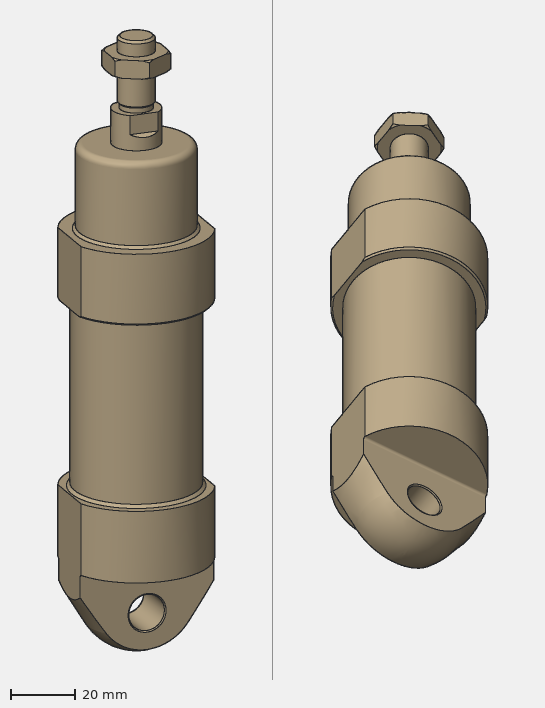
import cadquery as cq
import math

TOTAL_HEIGHT = 202.5

CAP_DIAMETER = 49.0
CAP_ACROSS_FLATS = 45.0
CAP_HEIGHT = 23.7
CAP_EDGE_CHAMFER = 0.6
BOTTOM_CAP_BASE_Z = 30.0
TOP_CAP_TOP_Z = 138.8
TUBE_DIAMETER = 41.5
TUBE_COLLAR_DIAMETER = 43.5
BOSS_DIAMETER = 38.0
BOSS_TOP_Z = 167.1
BOSS_FILLET = 2.2
BOSS_COLLAR_DIAMETER = 40.0

bottom_cap_top_z = BOTTOM_CAP_BASE_Z + CAP_HEIGHT
top_cap_base_z = TOP_CAP_TOP_Z - CAP_HEIGHT

LUG_THICKNESS = 18.0
LUG_TIP_RADIUS = 19.0
LUG_SHOULDER_Z = 19.5
LUG_ROOT_FILLET = 0.8
PIVOT_DIAMETER = 12.0
PIVOT_CHAMFER = 0.5
PIVOT_Z = 14.4

ROD_DIAMETER = 16.0
ROD_SHOULDER_Z = 178.7
ROD_ACROSS_FLATS = 13.0
ROD_FLAT_BASE_Z = 172.5
ROD_FLAT_RUNOUT = 1.0
THREAD_DIAMETER = 12.0
THREAD_BASE_Z = 180.3
THREAD_TIP_CHAMFER = 0.8
RELIEF_DIAMETER = 10.7

NUT_ACROSS_FLATS = 18.8
NUT_THICKNESS = 6.0
NUT_TOP_Z = 197.5
NUT_CHAMFER_DIAMETER = 19.9
NUT_CHAMFER_ANGLE = 30.0


def cylinder(diameter, base_z, top_z):
    """Upright cylinder on the Z axis between two heights."""
    return cq.Workplane("XY").workplane(offset=base_z).circle(diameter / 2).extrude(top_z - base_z)


def slab(width_x, width_y, base_z, top_z):
    """Centred rectangular block between two heights."""
    return cq.Workplane("XY").workplane(offset=base_z).rect(width_x, width_y).extrude(top_z - base_z)


def cut_flats(cap, base_z):
    """Trim a round cap to the flats facing -Y and +Y."""
    return cap.intersect(slab(CAP_DIAMETER, CAP_ACROSS_FLATS, base_z, base_z + CAP_HEIGHT))


def make_bottom_cap():
    cap = cylinder(CAP_DIAMETER, BOTTOM_CAP_BASE_Z, bottom_cap_top_z)
    return cut_flats(cap, BOTTOM_CAP_BASE_Z)


def make_top_cap():
    """Cap whose round lower edge is bevelled before the flats are cut."""
    cap = cylinder(CAP_DIAMETER, top_cap_base_z, TOP_CAP_TOP_Z).faces("<Z").chamfer(CAP_EDGE_CHAMFER)
    return cut_flats(cap, top_cap_base_z)


def lug_envelope():
    """Solid of revolution: spherical tip, tangent cone, then a cylinder at the cap diameter."""
    cap_radius = CAP_DIAMETER / 2
    shoulder_radius = CAP_ACROSS_FLATS / 2
    rise = LUG_SHOULDER_Z - LUG_TIP_RADIUS
    distance = math.hypot(shoulder_radius, rise)
    cone_angle = math.asin(LUG_TIP_RADIUS / distance) + math.atan2(rise, shoulder_radius)
    tangent_r = LUG_TIP_RADIUS * math.sin(cone_angle)
    tangent_z = LUG_TIP_RADIUS * (1 - math.cos(cone_angle))
    middle_r = LUG_TIP_RADIUS * math.sin(cone_angle / 2)
    middle_z = LUG_TIP_RADIUS * (1 - math.cos(cone_angle / 2))
    cone_top_z = LUG_SHOULDER_Z + (cap_radius - shoulder_radius) * math.tan(cone_angle)
    return (
        cq.Workplane("XZ")
        .moveTo(0, 0)
        .threePointArc((middle_r, middle_z), (tangent_r, tangent_z))
        .lineTo(cap_radius, cone_top_z)
        .lineTo(cap_radius, BOTTOM_CAP_BASE_Z)
        .lineTo(0, BOTTOM_CAP_BASE_Z)
        .close()
        .revolve(360, (0, 0, 0), (0, 1, 0))
    )


def lug():
    """Flat tongue with rounded underside and filleted root."""
    half = LUG_THICKNESS / 2
    root = half + LUG_ROOT_FILLET
    fillet_z = BOTTOM_CAP_BASE_Z - LUG_ROOT_FILLET
    bulge = LUG_ROOT_FILLET * (1 - math.sqrt(0.5))
    section = (
        cq.Workplane("XZ")
        .moveTo(-half, 0)
        .lineTo(half, 0)
        .lineTo(half, fillet_z)
        .threePointArc((half + bulge, BOTTOM_CAP_BASE_Z - bulge), (root, BOTTOM_CAP_BASE_Z))
        .lineTo(-root, BOTTOM_CAP_BASE_Z)
        .threePointArc((-half - bulge, BOTTOM_CAP_BASE_Z - bulge), (-half, fillet_z))
        .close()
        .extrude(CAP_ACROSS_FLATS / 2, both=True)
    )
    return section.intersect(lug_envelope())


def pivot_hole():
    """Cutter for the pivot hole along X, chamfered at both lug faces."""
    half = LUG_THICKNESS / 2
    radius = PIVOT_DIAMETER / 2
    mouth = radius + PIVOT_CHAMFER
    return (
        cq.Workplane("XY")
        .polyline([
            (-half, 0),
            (-half, mouth),
            (-half + PIVOT_CHAMFER, radius),
            (half - PIVOT_CHAMFER, radius),
            (half, mouth),
            (half, 0),
        ])
        .close()
        .revolve(360, (0, 0, 0), (1, 0, 0))
        .translate((0, 0, PIVOT_Z))
    )


def cone_collar(base_diameter, top_diameter, base_z):
    """Bevelled 45 degree collar that narrows upward to the cylinder it surrounds."""
    height = (base_diameter - top_diameter) / 2
    cone = cq.Solid.makeCone(base_diameter / 2, top_diameter / 2, height)
    return cq.Workplane(cone.translate(cq.Vector(0, 0, base_z)))


def make_housing():
    tube = cylinder(TUBE_DIAMETER, bottom_cap_top_z, top_cap_base_z)
    top_cap = make_top_cap()
    boss = cylinder(BOSS_DIAMETER, TOP_CAP_TOP_Z, BOSS_TOP_Z).faces(">Z").edges().fillet(BOSS_FILLET)
    boss_collar = cone_collar(BOSS_COLLAR_DIAMETER, BOSS_DIAMETER, TOP_CAP_TOP_Z)
    tube_collar = cone_collar(TUBE_COLLAR_DIAMETER, TUBE_DIAMETER, bottom_cap_top_z)
    body = make_bottom_cap().union(lug()).cut(pivot_hole())
    return body.union(tube_collar).union(tube).union(top_cap).union(boss_collar).union(boss)


def make_rod():
    """Rod standing on the boss, with two wrench flats and a threaded end."""
    shank = cylinder(ROD_DIAMETER, BOSS_TOP_Z, ROD_SHOULDER_Z)
    flat_x = ROD_ACROSS_FLATS / 2
    flat_depth = ROD_DIAMETER / 2 - flat_x
    wrench_cut = (
        cq.Workplane("XZ")
        .polyline([
            (flat_x, ROD_SHOULDER_Z),
            (flat_x, ROD_FLAT_BASE_Z),
            (flat_x + flat_depth, ROD_FLAT_BASE_Z - ROD_FLAT_RUNOUT),
            (flat_x + flat_depth, ROD_SHOULDER_Z),
        ])
        .close()
        .extrude(ROD_DIAMETER / 2, both=True)
    )
    shank = shank.cut(wrench_cut).cut(wrench_cut.mirror("YZ"))
    relief = cylinder(RELIEF_DIAMETER, ROD_SHOULDER_Z, THREAD_BASE_Z)
    thread = cylinder(THREAD_DIAMETER, THREAD_BASE_Z, TOTAL_HEIGHT).faces(">Z").chamfer(THREAD_TIP_CHAMFER)
    thread = thread.faces("<Z").chamfer((THREAD_DIAMETER - RELIEF_DIAMETER) / 2)
    return shank.union(relief).union(thread)


def make_nut():
    """Hexagonal nut with corners chamfered at both ends and a bore that fits the thread."""
    across_corners = NUT_ACROSS_FLATS / math.cos(math.pi / 6)
    base_z = NUT_TOP_Z - NUT_THICKNESS
    nut = cq.Workplane("XY").workplane(offset=base_z).polygon(6, across_corners).extrude(NUT_THICKNESS)
    corner_run = (across_corners - NUT_CHAMFER_DIAMETER) / 2
    corner_drop = corner_run * math.tan(math.radians(NUT_CHAMFER_ANGLE))
    turned_blank = cylinder(across_corners, base_z, NUT_TOP_Z).faces("<Z or >Z").chamfer(corner_drop, corner_run)
    return nut.intersect(turned_blank).cut(cylinder(THREAD_DIAMETER, base_z, NUT_TOP_Z))


housing = make_housing()
rod = make_rod()
nut = make_nut()

result = cq.Compound.makeCompound([housing.val(), rod.val(), nut.val()])